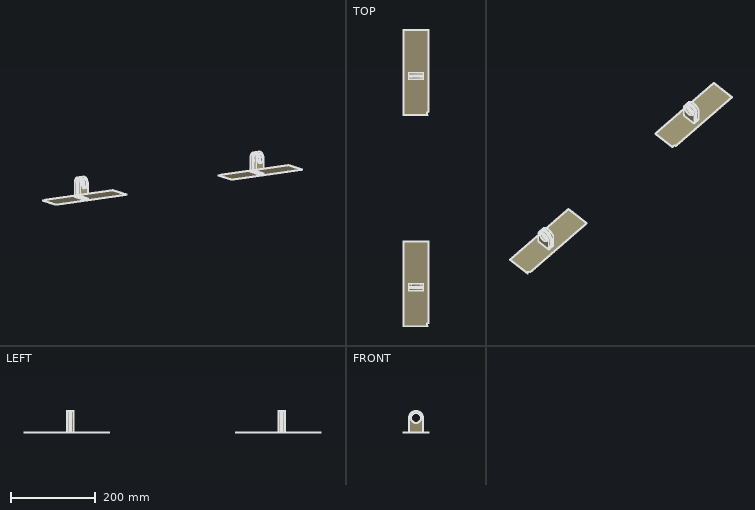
import cadquery as cq

total_length = 701.0
plate_width = 59.5
plate_length = 201.0
plate_thickness = 1.0
notch_diameter = 8.5
notch_inset = 3.5

total_height = 51.0
lug_width = 33.5
lug_thickness = 6.0
lug_gap = 3.5
lug_offset = 8.5
hole_diameter = 23.0

lug_radius = lug_width / 2
hole_height = total_height - lug_radius
bracket_pitch = total_length - plate_length


def make_plate():
    """Thin plate centred on the Z axis, with a round notch in the +X edge that breaks out at the -Y end."""
    plate = cq.Workplane("XY").box(plate_width, plate_length, plate_thickness, centered=(True, True, False))
    notch = (
        cq.Workplane("XY")
        .center(plate_width / 2, notch_inset - plate_length / 2)
        .circle(notch_diameter / 2)
        .extrude(plate_thickness)
    )
    return plate.cut(notch)


def make_lug(front_y):
    """Round-topped lug with a cross hole, reaching from front_y toward +Y."""
    outline = (
        cq.Workplane("XZ", origin=(0, front_y, 0))
        .moveTo(-lug_radius, 0)
        .lineTo(lug_radius, 0)
        .lineTo(lug_radius, hole_height)
        .threePointArc((0, total_height), (-lug_radius, hole_height))
        .close()
    )
    hole = (
        cq.Workplane("XZ", origin=(0, front_y, 0))
        .center(0, hole_height)
        .circle(hole_diameter / 2)
        .extrude(-lug_thickness)
    )
    return outline.extrude(-lug_thickness).cut(hole)


def make_bracket(center_y):
    """Plate and its two lugs as one solid."""
    bracket = make_plate()
    for front_y in (-lug_offset - lug_gap / 2 - lug_thickness, -lug_offset + lug_gap / 2):
        bracket = bracket.union(make_lug(front_y))
    return bracket.translate((0, center_y, 0))


brackets = [make_bracket(side * bracket_pitch / 2) for side in (-1, 1)]

result = cq.Compound.makeCompound([bracket.val() for bracket in brackets])